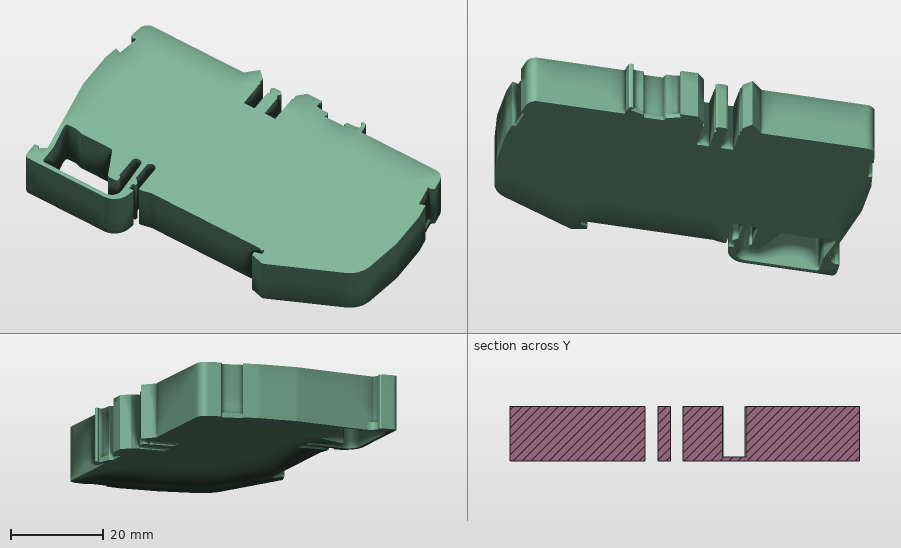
import cadquery as cq
import math


length = 81.45
height = 48.2
thickness = 12.0
lip_thickness = 1.05

half_length = length / 2
shoulder_y = 45.6
shoulder_half = 38.6
shoulder_radius = 2.3
side_top_y = 32.7
side_bottom_y = 23.8
flank_slope = (half_length - shoulder_half) / (shoulder_y - side_top_y)
rail_y = 6.4

hook_heel_x = 19.3
hook_heel_y = 3.1
hook_tip_x = 16.05
hook_throat_x = 17.75
belly_corner = (38.85, 12.2)
belly_radius = 6.0

foot_left_x = -40.4
foot_top_y = 4.15
foot_corner_radius = 1.05
foot_bend_radius = 4.3
foot_inner_y = 1.0
foot_block_x = -36.4
lug_x = -16.45
lug_top_y = 5.0
catch_x = -15.7
arm_outer_x = -16.8
spring_slot_right_x = -14.6
spring_slot_top_y = 13.35
spring_slot_radius = 1.05
web_end = (-37.55, 5.4)
foot_fillet_outer_z = 1.5
foot_fillet_web_z = 1.95

pin_x = -4.5
pin_half_width = 1.3
slot_outer_half = 4.1
slot_mouth_half = 4.3
slot_bottom_y = 38.5
bump_top_y = 45.2
bump_bottom_y = 44.5
dent_y = 44.15
prong_inner_y = 46.4
tip_rise = height - prong_inner_y

marker_x = 10.75
marker_wall_half = 5.5
marker_ledge_y = 46.2
marker_floor_y = 45.3
marker_groove_y = 45.0
marker_groove_half = 2.5
marker_floor_half = 2.2
marker_arm_x = 17.3


def rounded_corner(before, corner, after):
    """Start, middle and end of the arc that rounds one corner (x, y, radius)."""
    x, y, radius = corner
    length_in = math.hypot(before[0] - x, before[1] - y)
    length_out = math.hypot(after[0] - x, after[1] - y)
    ux, uy = (before[0] - x) / length_in, (before[1] - y) / length_in
    vx, vy = (after[0] - x) / length_out, (after[1] - y) / length_out
    half_angle = math.acos(ux * vx + uy * vy) / 2
    setback = radius / math.tan(half_angle)
    bisector = math.hypot(ux + vx, uy + vy)
    reach = radius / math.sin(half_angle) - radius
    middle = (x + (ux + vx) / bisector * reach, y + (uy + vy) / bisector * reach)
    start = (x + ux * setback, y + uy * setback)
    end = (x + vx * setback, y + vy * setback)
    return start, middle, end


def plate(points, top=thickness):
    """Extrude up from Z = 0 a closed outline; a third value in a point is its corner radius."""
    sketch = None
    for i, point in enumerate(points):
        arc = None
        start = point[:2]
        if len(point) == 3:
            arc = rounded_corner(points[i - 1], point, points[(i + 1) % len(points)])
            start = arc[0]
        if sketch is None:
            sketch = cq.Workplane("XY").moveTo(*start)
        else:
            sketch = sketch.lineTo(*start)
        if arc:
            sketch = sketch.threePointArc(arc[1], arc[2])
    return sketch.close().extrude(top)


def about(axis_x, side, points):
    """Place points given as (distance from a vertical axis, y) on one side of it."""
    return [(axis_x + side * x, *rest) for x, *rest in points]


def housing():
    upper_edge = [
        (-shoulder_half, shoulder_y, shoulder_radius),
        (shoulder_half, shoulder_y, shoulder_radius),
    ]
    right_end = [
        (half_length, side_top_y),
        (half_length, side_bottom_y),
        (*belly_corner, belly_radius),
    ]
    rail_hook = [
        (hook_heel_x, hook_heel_y, 1.1),
        (hook_tip_x, 4.0),
        (hook_tip_x, 4.9),
        (hook_throat_x, 5.4),
        (hook_throat_x, rail_y),
        (17.4, rail_y),
        (17.3, 6.2),
        (16.7, 6.2),
        (16.5, rail_y),
    ]
    rail_edge = [
        (-11.6, rail_y),
        (-13.6, 5.95),
        (spring_slot_right_x, 5.9, 0.25),
    ]
    spring_slot = [
        (spring_slot_right_x, spring_slot_top_y, spring_slot_radius),
        (arm_outer_x, spring_slot_top_y, spring_slot_radius),
        (arm_outer_x, 8.2),
        (catch_x, 7.2),
        (catch_x, rail_y),
        (lug_x, rail_y),
        (lug_x, lug_top_y),
    ]
    foot = [
        (-15.3, lug_top_y),
        (-16.2, 0.0, foot_bend_radius),
        (foot_left_x, 0.0, foot_corner_radius),
        (foot_left_x, foot_top_y, 0.4),
        (-39.3, foot_top_y),
        (-39.1, 3.6),
        (-37.5, 4.65),
        web_end,
    ]
    left_end = [
        (-half_length, side_bottom_y),
        (-half_length, side_top_y),
    ]
    return plate(upper_edge + right_end + rail_hook + rail_edge + spring_slot + foot + left_end)


def foot_window():
    """Opening behind the spring foot, clockwise from its upper left corner."""
    left_x, ceiling_y = -37.6, 12.55
    finger_root_y = 12.05
    finger_right_x, finger_tip_x, finger_bottom_y = -20.2, -19.7, 5.2
    slot_top_y, slot_radius = 12.9, 1.05
    ceiling = [
        (left_x, ceiling_y, 0.5),
        (-35.0, ceiling_y),
        (-33.55, finger_root_y),
        (-25.4, finger_root_y, 0.65),
    ]
    finger = [
        (-22.15, finger_bottom_y, 0.65),
        (finger_tip_x, finger_bottom_y, 0.3),
        (finger_tip_x, 6.4),
        (finger_right_x, 6.85),
    ]
    inner_slot = [
        (finger_right_x, slot_top_y, slot_radius),
        (-18.0, slot_top_y, slot_radius),
    ]
    spring_arm = [
        (-17.5, lug_top_y),
        (-17.35, foot_inner_y, 2.45),
        (foot_block_x, foot_inner_y, 0.7),
        (foot_block_x, 5.45),
        (left_x, 11.15),
    ]
    return plate(ceiling + finger + inner_slot + spring_arm)


def foot_fillet():
    """Low concave fillet filling the corner between the web and the foot."""
    web_y = 6.35
    web_x = -half_length + flank_slope * (side_bottom_y - web_y)
    foot_x, inside_x, inside_y = -39.25, -37.2, 3.25
    corner = (
        cq.Workplane("XY")
        .moveTo(web_x, web_y)
        .threePointArc((-38.3, 4.8), (foot_x, foot_top_y))
        .lineTo(foot_x, inside_y)
        .lineTo(inside_x, inside_y)
        .lineTo(inside_x, web_y)
        .close()
        .extrude(thickness)
    )
    sloped_top = (
        cq.Workplane("XZ")
        .polyline([
            (foot_x, 0),
            (inside_x, 0),
            (inside_x, foot_fillet_web_z),
            (foot_x, foot_fillet_outer_z),
        ])
        .close()
        .extrude(height, both=True)
    )
    return corner.intersect(sloped_top)


tooth_root = (38.6, 40.5)
recess_foot = (39.3, 35.8)


def end_recess(side):
    outside = half_length + 0.8
    tooth_y, step_y = 41.05, 36.1
    inner_top_y = 40.65
    opening = [
        (outside, tooth_y),
        (39.4, tooth_y),
        tooth_root,
        (38.3, inner_top_y),
        (37.9, inner_top_y),
        (38.8, 35.5),
        recess_foot,
        (39.9, step_y),
        (outside, step_y),
    ]
    return plate(about(0, side, opening))


def end_lip(side):
    lip = [
        tooth_root,
        (37.8, 40.9),
        (38.6, 35.35),
        recess_foot,
    ]
    return plate(about(0, side, lip), top=lip_thickness)


def left_prong():
    inner_x = pin_x - slot_mouth_half
    apex_x = inner_x - tip_rise
    return plate([
        (apex_x - (height - shoulder_y), shoulder_y),
        (apex_x, height),
        (inner_x, prong_inner_y),
        (inner_x, shoulder_y),
    ])


def pin_slot(side):
    head_half = 1.4
    dent = slot_mouth_half - slot_outer_half
    slot = [
        (pin_half_width, slot_bottom_y),
        (slot_outer_half, slot_bottom_y),
        (slot_outer_half, dent_y - dent),
        (slot_mouth_half, dent_y),
        (slot_outer_half, bump_bottom_y),
        (slot_outer_half, bump_top_y),
        (slot_mouth_half, bump_top_y),
        (slot_mouth_half, height),
        (0.0, height),
        (0.0, shoulder_y),
        (0.9, shoulder_y),
        (head_half, bump_top_y),
        (head_half, 44.7),
        (0.8, dent_y),
        (pin_half_width, 43.6),
    ]
    return plate(about(pin_x, side, slot))


def marker_block():
    inner_x = pin_x + slot_mouth_half
    base_y = shoulder_y - 0.8
    return plate([
        (inner_x, base_y),
        (inner_x, prong_inner_y),
        (inner_x + tip_rise, height),
        (16.45, height),
        (16.95, 48.0),
        (marker_arm_x, 46.6),
        (marker_arm_x, base_y),
    ])


def marker_recess():
    hooked_wall = [
        (marker_wall_half, 47.3),
        (marker_wall_half, 46.4),
        (4.3, marker_ledge_y),
        (marker_groove_half, marker_ledge_y),
        (marker_floor_half, marker_floor_y),
        (marker_groove_half, marker_floor_y),
        (marker_groove_half, marker_groove_y),
    ]
    block_mouth = [(5.3, height + 0.8), (5.3, 47.65)]
    arm_mouth = [(5.4, height + 0.8), (5.4, height), (5.1, 48.0), (5.1, 47.7)]
    left = about(marker_x, -1, block_mouth + hooked_wall)
    right = about(marker_x, 1, arm_mouth + hooked_wall)
    return plate(left + right[::-1])


def marker_lip():
    half_lip = [
        (marker_wall_half, 47.1),
        (marker_groove_half, marker_ledge_y),
        (marker_floor_half, marker_floor_y),
    ]
    base = [(marker_wall_half, marker_groove_y)]
    left = about(marker_x, -1, base + half_lip)
    right = about(marker_x, 1, base + half_lip)
    return plate(left + right[::-1], top=lip_thickness)


result = housing().cut(foot_window()).union(foot_fillet())
result = result.union(left_prong()).union(marker_block())
result = result.cut(marker_recess()).union(marker_lip())
for end in (-1, 1):
    result = result.cut(pin_slot(end))
    result = result.cut(end_recess(end)).union(end_lip(end))